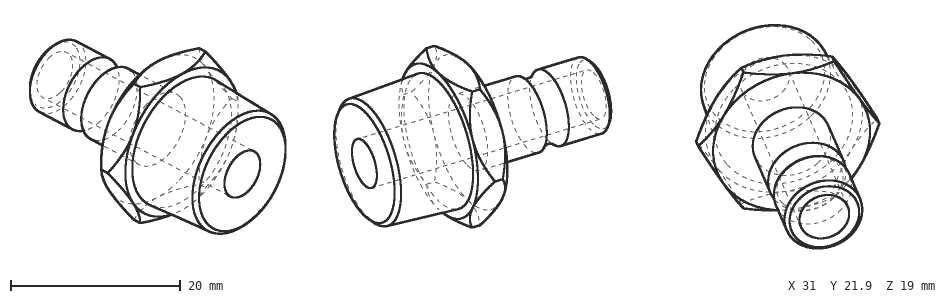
import cadquery as cq
import math

overall_length = 31.0
hex_start = 17.0
hex_thickness = 4.0
hex_end = hex_start + hex_thickness

plug_radius = 4.7
plug_chamfer = 0.5
groove_start = 6.0
groove_width = 2.98
groove_depth = 0.65
groove_bottom_radius = plug_radius - groove_depth

across_flats = 19.0
across_corners = across_flats / math.cos(math.pi / 6)
hex_chamfer = (across_corners - across_flats) / 2

taper_large_radius = 8.35
taper_small_radius = 7.85
taper_chamfer = 0.55

bore_radius = 3.0


def revolve_about_x(profile):
    """Turn a closed half profile drawn in the XY plane about the X axis."""
    return profile.close().revolve(360, (0, 0, 0), (1, 0, 0))


def make_plug():
    groove_end = groove_start + groove_width
    profile = (
        cq.Workplane("XY")
        .moveTo(0, 0)
        .lineTo(0, plug_radius - plug_chamfer)
        .lineTo(plug_chamfer, plug_radius)
        .lineTo(groove_start, plug_radius)
        .threePointArc(
            (groove_start + groove_width / 2, groove_bottom_radius),
            (groove_end, plug_radius),
        )
        .lineTo(hex_end, plug_radius)
        .lineTo(hex_end, 0)
    )
    return revolve_about_x(profile)


def make_hexagon():
    prism = (
        cq.Workplane("YZ", origin=(hex_start, 0, 0))
        .polygon(6, across_corners)
        .extrude(hex_thickness)
    )
    corner_envelope = (
        cq.Workplane("YZ", origin=(hex_start, 0, 0))
        .circle(across_corners / 2)
        .extrude(hex_thickness)
        .faces("<X or >X")
        .chamfer(hex_chamfer)
    )
    return prism.intersect(corner_envelope)


def make_tapered_end():
    chamfer_start = overall_length - taper_chamfer
    profile = (
        cq.Workplane("XY")
        .moveTo(hex_end, 0)
        .lineTo(hex_end, taper_large_radius)
        .lineTo(chamfer_start, taper_small_radius)
        .lineTo(overall_length, taper_small_radius - taper_chamfer)
        .lineTo(overall_length, 0)
    )
    return revolve_about_x(profile)


def make_bore():
    return cq.Workplane("YZ").circle(bore_radius).extrude(overall_length)


result = make_plug().union(make_hexagon()).union(make_tapered_end()).cut(make_bore())